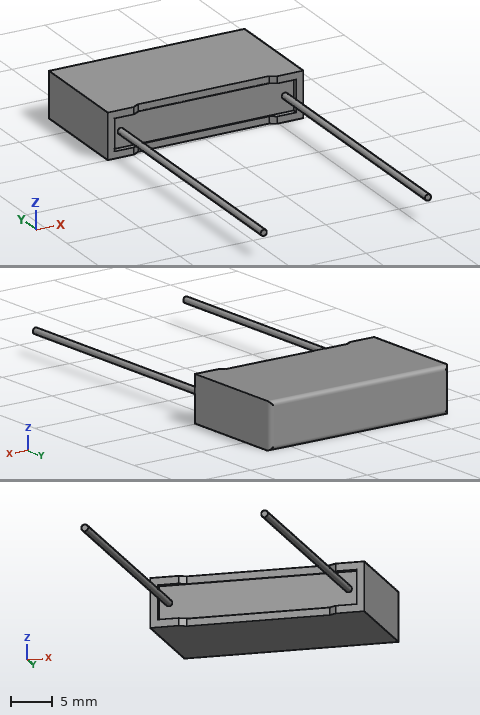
import cadquery as cq

case_width = 26.8
case_height = 6.2
case_length = 15.15
total_length = 50.1

wall = 0.95
back_fillet = 0.6
relief_depth = 0.5
relief_mouth_width = 19.65
relief_floor_width = 17.95

potting_setback = 0.7
lead_diameter = 0.85
lead_spacing = 22.5

back_y = total_length / 2
lead_end_y = -total_length / 2
rim_y = back_y - case_length
potting_y = rim_y + potting_setback

cavity_width = case_width - 2 * wall
cavity_height = case_height - 2 * wall
cavity_end_y = back_y - wall


def block(width, height, front_y, rear_y):
    """Box centred on X and Z, spanning front_y to rear_y."""
    center = (0, (front_y + rear_y) / 2, 0)
    return cq.Workplane("XY", origin=center).box(width, rear_y - front_y, height)


def make_relief():
    """Trapezoidal cutter for the shallow rim relief, through the full height."""
    half_mouth = relief_mouth_width / 2
    half_floor = relief_floor_width / 2
    floor_y = rim_y + relief_depth
    outline = [
        (-half_mouth, rim_y),
        (-half_floor, floor_y),
        (half_floor, floor_y),
        (half_mouth, rim_y),
    ]
    return cq.Workplane("XY").polyline(outline).close().extrude(case_height / 2, both=True)


def make_case():
    """Open box with rounded back edges and a relief in its rim."""
    shell = block(case_width, case_height, rim_y, back_y)
    shell = shell.faces(">Y").edges().fillet(back_fillet)
    cavity = block(cavity_width, cavity_height, rim_y, cavity_end_y)
    return shell.cut(cavity).cut(make_relief())


def make_potting():
    """Resin block filling the cavity up to its setback from the rim."""
    return block(cavity_width, cavity_height, potting_y, cavity_end_y)


def make_lead(x):
    """Round wire standing on the potting face."""
    base = cq.Workplane("XZ", origin=(x, potting_y, 0))
    return base.circle(lead_diameter / 2).extrude(potting_y - lead_end_y)


case = make_case()
potting = make_potting()
leads = [make_lead(side * lead_spacing / 2) for side in (-1, 1)]

result = cq.Compound.makeCompound([case.val(), potting.val(), *[lead.val() for lead in leads]])